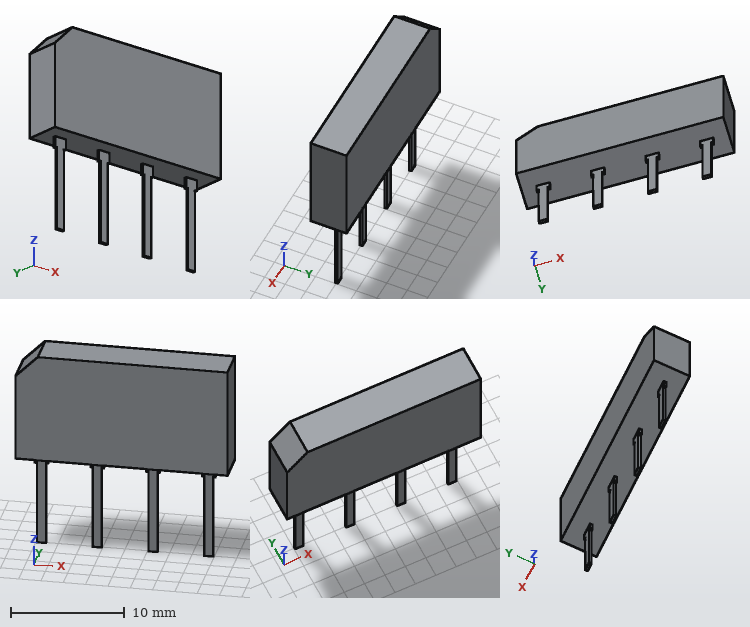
import cadquery as cq

body_length = 19.0
body_thickness = 3.5
body_height = 10.0
corner_chamfer = 2.0

lead_count = 4
lead_pitch = 5.0
lead_drop = 8.7
lead_width = 0.8
lead_thickness = 0.25
shoulder_width = 1.2
shoulder_drop = 1.0


def make_body():
    """Rectangular block with its upper -X edge chamfered."""
    block = cq.Workplane("XY").box(
        body_length, body_thickness, body_height, centered=(True, True, False)
    )
    return block.faces("<X").edges(">Z").chamfer(corner_chamfer)


def hanging_bar(x, width, drop):
    """Flat bar at position x that hangs from the body's underside."""
    bar = cq.Workplane("XY").rect(width, lead_thickness).extrude(-drop)
    return bar.translate((x, 0, 0))


def make_lead(x):
    """Narrow lead with a wider shoulder next to the body."""
    shoulder = hanging_bar(x, shoulder_width, shoulder_drop)
    return hanging_bar(x, lead_width, lead_drop).union(shoulder)


result = make_body()
first_lead_x = -lead_pitch * (lead_count - 1) / 2
for index in range(lead_count):
    result = result.union(make_lead(first_lead_x + index * lead_pitch))